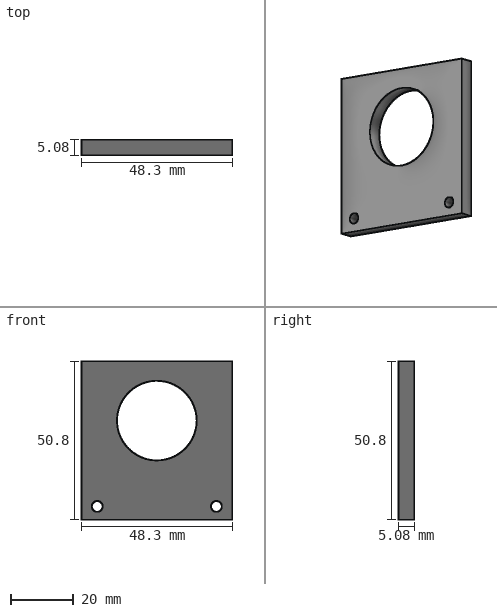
import cadquery as cq

plate_width = 48.26
plate_thickness = 5.08
plate_height = 50.8

opening_diameter = 25.4
opening_from_top = 19.05

mount_hole_diameter = 3.4
mount_hole_from_side = 5.08
mount_hole_from_bottom = 4.318

opening_z = plate_height / 2 - opening_from_top
mount_hole_x = plate_width / 2 - mount_hole_from_side
mount_hole_z = mount_hole_from_bottom - plate_height / 2


def through_hole(diameter, centers):
    """Cylinders along Y, as long as the plate is thick, at the given (x, z) centers."""
    return (
        cq.Workplane("XZ")
        .pushPoints(centers)
        .circle(diameter / 2)
        .extrude(plate_thickness / 2, both=True)
    )


plate = cq.Workplane("XY").box(plate_width, plate_thickness, plate_height)
opening = through_hole(opening_diameter, [(0, opening_z)])
mount_holes = through_hole(
    mount_hole_diameter,
    [(side * mount_hole_x, mount_hole_z) for side in (-1, 1)],
)

result = plate.cut(opening).cut(mount_holes)